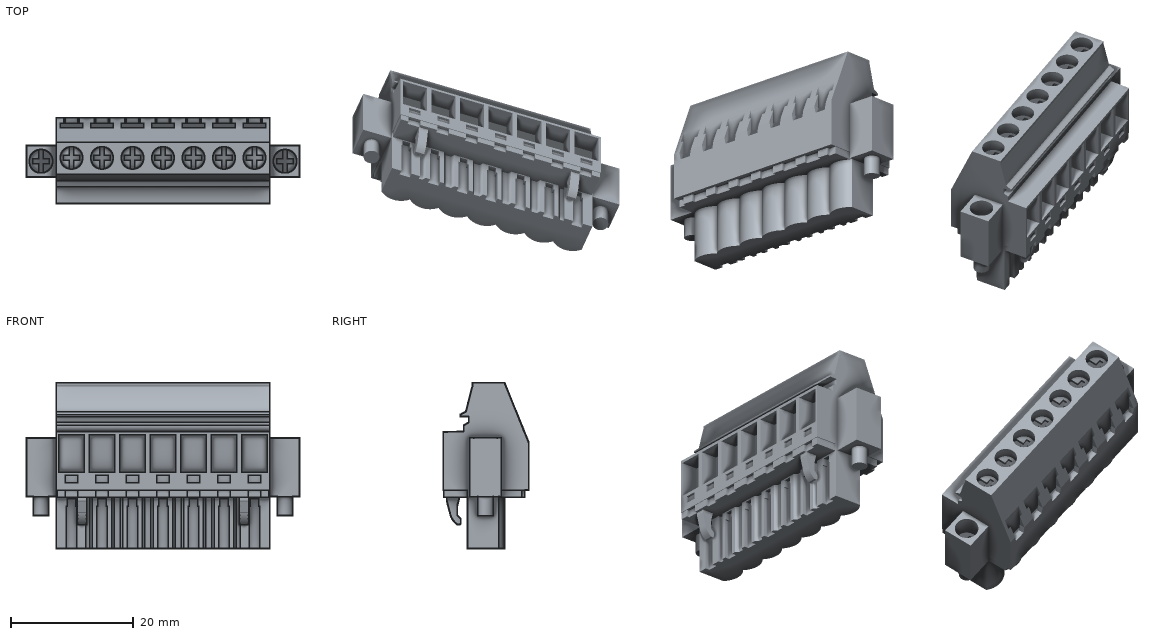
import cadquery as cq


pole_count = 7
housing_length = 35.0
pitch = housing_length / pole_count
half_length = housing_length / 2
pole_xs = [(i - (pole_count - 1) / 2) * pitch for i in range(pole_count)]

front_y = -6.95
back_y = 7.12
body_bottom_z = 9.6
front_block_front_z = 19.15
front_block_back_z = 19.2
slope_start_z = 17.35
top_z = 27.2
top_front_y = -2.15
top_back_y = 3.15
nose_z = 26.65
lip_root_y, lip_root_z = -3.23, 22.45
lip_tip_y, lip_tip_z = -4.15, 21.95
lip_underside_z = 21.65
groove_floor_y = -2.8
groove_bottom_z = 20.7
ledge_y, ledge_z = -3.6, 20.2

skirt_bottom_z = 8.4
skirt_front_y = -6.85
skirt_end_inset = 0.15
skirt_back_y = 5.9
skirt_notch_width = 2.05
skirt_notch_depth = 0.5
skirt_tab_length = 0.55

window_width = 4.2
window_bottom_z = 12.55
window_top_z = 18.65
window_depth = 3.0
test_slot_width = skirt_notch_width
test_slot_bottom_z = 10.8
test_slot_top_z = 12.0
test_slot_depth = 0.45

marker_slot_width = 3.7
marker_slot_front_y = 5.5
marker_slot_back_y = 6.2
marker_slot_floor_z = 15.25
marker_channel_floor_width = 2.05
marker_channel_top_width = 2.55
marker_channel_floor_z = 16.15
marker_channel_flare_z = slope_start_z

plug_front_y = -2.95
plug_back_valley_y = 2.15
plug_back_crest_y = 3.15
tooth_front_half_width = 1.6
tooth_base_half_width = 2.0
end_tooth_half_width = 2.37
tooth_depth = 0.55
contact_groove_width = 1.8
contact_groove_depth = 0.8
contact_groove_top_z = 6.95
contact_neck_width = 1.35
contact_neck_top_z = 8.15

latch_x = 13.25
latch_width = 1.52
latch_outer_root = (-6.35, 7.85)
latch_bend_start = (-5.85, 5.95)
latch_bend_middle = (-5.35, 4.65)
latch_bend_end = (-4.6, 3.95)
latch_barb_bottom_y = -4.2
latch_barb_y = -4.05
latch_barb_bottom_z = 4.15
latch_barb_top_z = 4.9
latch_neck_y = -4.6
latch_neck_bottom_z = 5.45
latch_neck_top_z = 7.0
latch_inner_root_y = -4.25

overall_length = 44.8
flange_half_depth = 2.6
flange_bottom_z = 8.5
flange_top_z = 18.15
flange_screw_x = 4 * pitch

clamp_screw_y = 0.55
clamp_screw_radius = 1.85
clamp_screw_top_z = 25.2
clamp_screw_length = 4.5
flange_head_radius = 1.93
flange_head_top_z = 14.35
flange_head_bottom_z = 11.65
flange_shank_radius = 1.3
flange_shank_bottom_z = 5.4
blade_slot_width = 0.65
cross_slot_width = 0.8
cross_slot_length = 2.65
drive_depth = 0.55


def block(x0, x1, y0, y1, z0, z1):
    """Box between two opposite corners."""
    return cq.Workplane("XY").box(x1 - x0, y1 - y0, z1 - z0, centered=False).translate((x0, y0, z0))


def centred_block(x, width, y0, y1, z0, z1):
    """Box of the given width, centred on x."""
    return block(x - width / 2, x + width / 2, y0, y1, z0, z1)


def cylinder(x, y, radius, z0, z1):
    """Upright cylinder."""
    return cq.Workplane("XY", origin=(x, y, z0)).circle(radius).extrude(z1 - z0)


def make_body():
    """Main housing: the side profile drawn along the row of poles."""
    profile = [
        (front_y, body_bottom_z),
        (front_y, front_block_front_z),
        (ledge_y, front_block_back_z),
        (ledge_y, ledge_z),
        (groove_floor_y, groove_bottom_z),
        (groove_floor_y, lip_underside_z),
        (lip_tip_y, lip_underside_z),
        (lip_tip_y, lip_tip_z),
        (lip_root_y, lip_root_z),
        (top_front_y, nose_z),
        (top_front_y, top_z),
        (top_back_y, top_z),
        (back_y, slope_start_z),
        (back_y, body_bottom_z),
    ]
    return cq.Workplane("YZ").polyline(profile).close().extrude(half_length, both=True)


def make_skirt():
    """Band under the housing, with a front notch and a matching back tab at every pole."""
    skirt_length = housing_length - 2 * skirt_end_inset
    skirt = centred_block(0, skirt_length, skirt_front_y, skirt_back_y, skirt_bottom_z, body_bottom_z)
    notch_floor_y = skirt_front_y + skirt_notch_depth
    tab_end_y = skirt_back_y + skirt_tab_length
    for x in pole_xs:
        skirt = skirt.cut(
            centred_block(x, skirt_notch_width, skirt_front_y, notch_floor_y, skirt_bottom_z, body_bottom_z)
        )
        skirt = skirt.union(
            centred_block(x, skirt_notch_width, skirt_back_y, tab_end_y, skirt_bottom_z, body_bottom_z)
        )
    return skirt


def tooth_gap(index):
    """Recess in the plug front between one pole and the next; the two end teeth have a square flank."""
    left_x = pole_xs[index]
    right_x = pole_xs[index + 1]
    left_front, left_base = left_x + tooth_front_half_width, left_x + tooth_base_half_width
    right_front, right_base = right_x - tooth_front_half_width, right_x - tooth_base_half_width
    if index == 0:
        left_front = left_base = left_x + end_tooth_half_width
    if index == pole_count - 2:
        right_front = right_base = right_x - end_tooth_half_width
    floor_y = plug_front_y + tooth_depth
    outline = [
        (left_front, plug_front_y),
        (left_base, floor_y),
        (right_base, floor_y),
        (right_front, plug_front_y),
    ]
    return cq.Workplane("XY").polyline(outline).close().extrude(skirt_bottom_z)


def contact_groove(x):
    """Groove in a tooth, narrowing to a neck near its top."""
    floor_y = plug_front_y + contact_groove_depth
    groove = centred_block(x, contact_groove_width, plug_front_y, floor_y, 0, contact_groove_top_z)
    neck = centred_block(
        x, contact_neck_width, plug_front_y, floor_y, contact_groove_top_z, contact_neck_top_z
    )
    return groove.union(neck)


def make_plug():
    """Plug block with one grooved tooth in front and one convex arc at the back for each pole."""
    outline = (
        cq.Workplane("XY")
        .moveTo(half_length, plug_front_y)
        .lineTo(-half_length, plug_front_y)
        .lineTo(-half_length, plug_back_valley_y)
    )
    for x in pole_xs:
        outline = outline.threePointArc((x, plug_back_crest_y), (x + pitch / 2, plug_back_valley_y))
    plug = outline.close().extrude(body_bottom_z)
    for index in range(pole_count - 1):
        plug = plug.cut(tooth_gap(index))
    for x in pole_xs:
        plug = plug.cut(contact_groove(x))
    return plug


def latch_hook(x):
    """Curved latch hanging from the skirt, with its barb toward the plug."""
    outer_root_y = latch_outer_root[0]
    bend_end_z = latch_bend_end[1]
    return (
        cq.Workplane("YZ", origin=(x, 0, 0))
        .moveTo(latch_inner_root_y, body_bottom_z)
        .lineTo(outer_root_y, body_bottom_z)
        .lineTo(*latch_outer_root)
        .lineTo(*latch_bend_start)
        .threePointArc(latch_bend_middle, latch_bend_end)
        .lineTo(latch_barb_bottom_y, bend_end_z)
        .lineTo(latch_barb_y, latch_barb_bottom_z)
        .lineTo(latch_barb_y, latch_barb_top_z)
        .lineTo(latch_neck_y, latch_neck_bottom_z)
        .lineTo(latch_neck_y, latch_neck_top_z)
        .lineTo(latch_inner_root_y, skirt_bottom_z)
        .close()
        .extrude(latch_width / 2, both=True)
    )


def marker_slot(x):
    """T-shaped slot cut down into the sloping back; its rear channel flares out above the floor."""
    slot = centred_block(
        x, marker_slot_width, marker_slot_front_y, marker_slot_back_y, marker_slot_floor_z, top_z
    )
    half_floor = marker_channel_floor_width / 2
    half_top = marker_channel_top_width / 2
    channel = (
        cq.Workplane("XZ", origin=(x, back_y, 0))
        .moveTo(-half_floor, marker_channel_floor_z)
        .lineTo(half_floor, marker_channel_floor_z)
        .lineTo(half_top, marker_channel_flare_z)
        .lineTo(half_top, top_z)
        .lineTo(-half_top, top_z)
        .lineTo(-half_top, marker_channel_flare_z)
        .close()
        .extrude(back_y - marker_slot_back_y)
    )
    return slot.union(channel)


def make_clamp_screw(x):
    """Clamp screw without its drive slots; it also gives the shape of its seat."""
    return cylinder(
        x, clamp_screw_y, clamp_screw_radius, clamp_screw_top_z - clamp_screw_length, clamp_screw_top_z
    )


def make_flange_screw(x):
    """Flange screw without its drive slots: a head on a plain shank."""
    head = cylinder(x, 0, flange_head_radius, flange_head_bottom_z, flange_head_top_z)
    shank = cylinder(x, 0, flange_shank_radius, flange_shank_bottom_z, flange_head_bottom_z)
    return head.union(shank)


def drive_slots(x, y, head_radius, head_top_z):
    """Blade slot across the whole head with a shorter cross slot."""
    floor_z = head_top_z - drive_depth
    blade = centred_block(x, blade_slot_width, y - head_radius, y + head_radius, floor_z, head_top_z)
    half_cross = cross_slot_width / 2
    cross = centred_block(x, cross_slot_length, y - half_cross, y + half_cross, floor_z, head_top_z)
    return blade.union(cross)


def make_housing():
    """Housing with flanges, plug and latches, cut for the wires, markers and screws."""
    housing = make_body().union(make_skirt()).union(make_plug())
    for side in (-1, 1):
        housing = housing.union(latch_hook(side * latch_x))
        inner_x, outer_x = sorted((side * half_length, side * overall_length / 2))
        housing = housing.union(
            block(inner_x, outer_x, -flange_half_depth, flange_half_depth, flange_bottom_z, flange_top_z)
        )

    for x in pole_xs:
        housing = housing.cut(
            centred_block(
                x, window_width, front_y, front_y + window_depth, window_bottom_z, window_top_z
            )
        )
        housing = housing.cut(
            centred_block(
                x, test_slot_width, front_y, front_y + test_slot_depth, test_slot_bottom_z, test_slot_top_z
            )
        )
        housing = housing.cut(marker_slot(x))
        housing = housing.cut(make_clamp_screw(x))
        housing = housing.cut(cylinder(x, clamp_screw_y, clamp_screw_radius, clamp_screw_top_z, top_z))

    for side in (-1, 1):
        x = side * flange_screw_x
        housing = housing.cut(make_flange_screw(x))
        housing = housing.cut(cylinder(x, 0, flange_head_radius, flange_head_top_z, flange_top_z))
    return housing


housing = make_housing()

clamp_screws = [
    make_clamp_screw(x).cut(drive_slots(x, clamp_screw_y, clamp_screw_radius, clamp_screw_top_z))
    for x in pole_xs
]

flange_screws = [
    make_flange_screw(x).cut(drive_slots(x, 0, flange_head_radius, flange_head_top_z))
    for x in (-flange_screw_x, flange_screw_x)
]

result = cq.Compound.makeCompound(
    [housing.val()]
    + [screw.val() for screw in clamp_screws]
    + [screw.val() for screw in flange_screws]
)